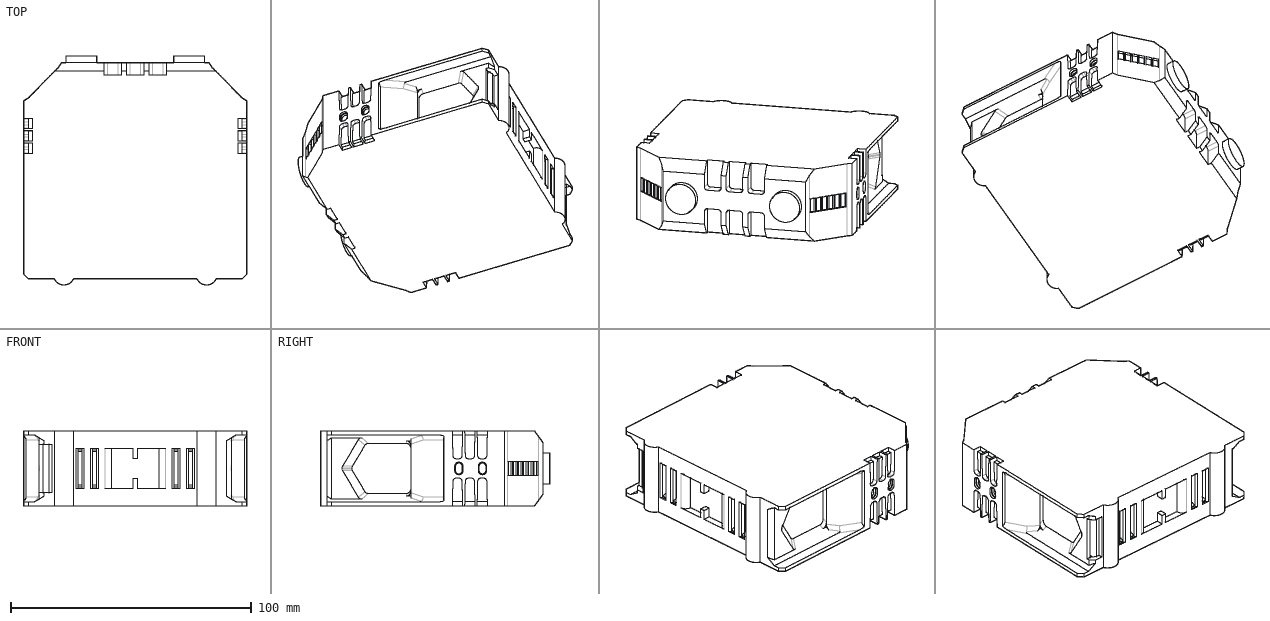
import cadquery as cq
import math

width = 93.0
thickness = 31.3
half_width = width / 2
half_thickness = thickness / 2
overall_back_y = 47.75
overall_front_y = -overall_back_y
back_y = 44.9
front_y = -45.2
front_corner = 2.0
back_half_width = 30.75
back_shoulder = (31.9, 43.1)
slant_end = (44.6, 30.2)
side_top_y = 28.9
back_bevel_y = 3.5
back_bevel_z = 4.9

foot_x = 29.7
foot_half_chord = 4.0
foot_height = front_y - overall_front_y
foot_radius = (foot_half_chord**2 + foot_height**2) / (2 * foot_height)
knob_diameter = 13.0
knob_x = 22.4

groove_end_z = 4.0
groove_corner = 1.3
side_groove_y = 14.4
side_groove_pitch = 5.2
side_groove_mouth = 4.3
side_groove_end = 3.7
side_groove_depth = 2.1
side_notch_depth = 3.6
side_notch_z = 13.8
back_groove_pitch = 9.4
back_groove_width = 7.2
back_groove_depth = 5.1

oval_y = (9.8, 19.7)
oval_straight = 1.8
oval_widths = (3.4, 2.8)
oval_depths = (1.0, 1.9)

slant_slot_count = 6
slant_slot_pitch = 3.0
slant_slot_width = 2.4
slant_slot_length = 5.9
slant_slot_depth = 1.0

pocket_back_y = 3.7
pocket_lip_y = 3.4
pocket_lip_depth = 1.05
pocket_corner = 1.1
pocket_half_z = 13.9
pocket_wall_depth = 4.5
ramp_end_y = -10.1
ramp_end_depth = 8.6
ramp_fillet = 2.1
shelf_depth = 6.5
well_depth = 10.4
well_half_z = 10.4
pocket_wall_slope = (pocket_half_z - well_half_z) / (well_depth - pocket_wall_depth)
shelf_half_z = pocket_half_z - pocket_wall_slope * (shelf_depth - pocket_wall_depth)
well_corner_y = -28.8
well_tip_y = -34.7
well_tip_half_z = 0.6
well_front_slope = 4.1
well_corner = 1.9

latch_half_z = 10.0
latch_slot_half_z = 11.5
latch_slot_x = (-38.4, -35.9)
latch_slot_depth = 3.8
latch_step_y = -42.1
latch_lip_x = -34.6
latch_lip_y = -43.4

recess_half_z = 8.3
recess_half_x = 9.8
recess_lip_radius = 2.8
recess_depth = 3.0
tab_width = 2.0
tab_length = 4.2

vent_x = (17.0, 23.0)
vent_mouth = 3.3
vent_throat = 1.8
vent_bevel_depth = 0.8
vent_depth = 2.9
vent_end_margin = 0.7


def both_sides(shape):
    return shape.union(shape.mirror("YZ"))


def both_faces(shape):
    return shape.union(shape.mirror("XY"))


def prism_z(points, half_height):
    return cq.Workplane("XY").polyline(points).close().extrude(half_height, both=True)


def box_between(x, y, z):
    size = [abs(b - a) for a, b in (x, y, z)]
    center = [(a + b) / 2 for a, b in (x, y, z)]
    return cq.Workplane("XY").box(*size).translate(tuple(center))


def make_housing():
    right_side = [
        (half_width - front_corner, front_y),
        (half_width, front_y + front_corner),
        (half_width, side_top_y),
        slant_end,
        back_shoulder,
        (back_half_width, back_y),
    ]
    left_side = [(-x, y) for x, y in reversed(right_side)]
    housing = prism_z(right_side + left_side, half_thickness)
    bevel = (
        cq.Workplane("YZ")
        .polyline([
            (back_y, half_thickness - back_bevel_z),
            (back_y, half_thickness),
            (back_y - back_bevel_y, half_thickness),
        ])
        .close()
        .extrude(half_width, both=True)
    )
    return housing.cut(both_faces(bevel))


def make_foot():
    center_y = overall_front_y + foot_radius
    return cq.Workplane("XY").center(foot_x, center_y).circle(foot_radius).extrude(half_thickness, both=True)


def make_knob():
    return (
        cq.Workplane("XZ", origin=(knob_x, back_y, 0))
        .circle(knob_diameter / 2)
        .extrude(-(overall_back_y - back_y))
    )


def make_side_grooves():
    grooves = cq.Workplane("XY")
    for index in (-1, 0, 1):
        center_y = side_groove_y + index * side_groove_pitch
        groove = (
            cq.Workplane("YZ", origin=(half_width - side_notch_depth, center_y, 0))
            .polyline([
                (-side_groove_end / 2, groove_end_z),
                (side_groove_end / 2, groove_end_z),
                (side_groove_mouth / 2, half_thickness),
                (-side_groove_mouth / 2, half_thickness),
            ])
            .close()
            .extrude(side_notch_depth)
            .edges("|X and <Z")
            .fillet(groove_corner)
        )
        floor = box_between(
            (half_width - side_notch_depth, half_width - side_groove_depth),
            (center_y - side_groove_mouth / 2, center_y + side_groove_mouth / 2),
            (groove_end_z, side_notch_z),
        )
        grooves = grooves.union(groove.cut(floor))
    return both_faces(grooves)


def make_back_grooves():
    grooves = cq.Workplane("XY")
    for index in (-1, 0, 1):
        center_x = index * back_groove_pitch
        groove = box_between(
            (center_x - back_groove_width / 2, center_x + back_groove_width / 2),
            (back_y - back_groove_depth, back_y),
            (groove_end_z, half_thickness),
        )
        grooves = grooves.union(groove.edges("|Y and <Z").fillet(groove_corner))
    return both_faces(grooves)


def make_ovals():
    ovals = cq.Workplane("XY")
    for oval_width, oval_depth in zip(oval_widths, oval_depths):
        step = (
            cq.Workplane("YZ", origin=(half_width, 0, 0))
            .pushPoints([(y, 0) for y in oval_y])
            .slot2D(oval_straight + oval_width, oval_width, 90)
            .extrude(-oval_depth)
        )
        ovals = ovals.union(step)
    return ovals


def make_slant_slots():
    dx = slant_end[0] - back_shoulder[0]
    dy = slant_end[1] - back_shoulder[1]
    middle = ((slant_end[0] + back_shoulder[0]) / 2, (slant_end[1] + back_shoulder[1]) / 2, 0)
    face = cq.Plane(origin=middle, xDir=(dx, dy, 0), normal=(-dy, dx, 0))
    return (
        cq.Workplane(face)
        .rarray(slant_slot_pitch, 1, slant_slot_count, 1)
        .rect(slant_slot_width, slant_slot_length)
        .extrude(-slant_slot_depth)
    )


def make_well():
    """Five-sided well below the shelf, pointed toward the front, with sloping walls."""
    slope_z = shelf_half_z - well_half_z
    run = (well_corner_y - well_tip_y) / (well_half_z - well_tip_half_z)
    shelf_corner_y = well_corner_y - well_front_slope + slope_z * run

    def outline(corner_y, tip_y, half_z):
        return [
            (ramp_end_y, -half_z),
            (corner_y, -half_z),
            (tip_y, -well_tip_half_z),
            (tip_y, well_tip_half_z),
            (corner_y, half_z),
            (ramp_end_y, half_z),
        ]

    middle_x = half_width - (shelf_depth + well_depth) / 2
    quarter = (well_depth - shelf_depth) / 4
    wall_edges = cq.selectors.BoxSelector(
        (middle_x - quarter, front_y, -half_thickness),
        (middle_x + quarter, back_y, half_thickness),
    )
    return (
        cq.Workplane("YZ", origin=(half_width - well_depth, 0, 0))
        .polyline(outline(well_corner_y, well_tip_y, well_half_z))
        .close()
        .workplane(offset=well_depth - shelf_depth)
        .polyline(outline(shelf_corner_y, well_tip_y - well_front_slope, shelf_half_z))
        .close()
        .loft(ruled=True)
        .edges(wall_edges)
        .fillet(well_corner)
    )


def make_pocket():
    channel_half = [
        (half_width, pocket_half_z),
        (half_width - pocket_wall_depth, pocket_half_z),
        (half_width - well_depth, well_half_z),
    ]
    channel = (
        cq.Workplane("XZ")
        .polyline(channel_half + [(x, -z) for x, z in reversed(channel_half)])
        .close()
        .extrude(overall_back_y, both=True)
    )
    ramp_profile = [
        (half_width, pocket_back_y),
        (half_width - pocket_lip_depth, pocket_lip_y),
        (half_width - ramp_end_depth, ramp_end_y),
        (half_width, ramp_end_y),
    ]
    ramp = prism_z(ramp_profile, half_thickness).intersect(channel)
    ramp_face = ramp.faces(cq.selectors.NearestToPointSelector(
        (half_width - (pocket_lip_depth + ramp_end_depth) / 2, (pocket_lip_y + ramp_end_y) / 2, 0)
    ))
    ramp = ramp.newObject(ramp_face.edges("not |Z").vals()).fillet(ramp_fillet)
    rounded_opening = box_between(
        (0, half_width),
        (ramp_end_y, pocket_back_y),
        (-pocket_half_z, pocket_half_z),
    ).edges("|X and >Y").fillet(pocket_corner)
    ramp = ramp.intersect(rounded_opening)
    shelf_profile = [
        (half_width, ramp_end_y),
        (half_width - ramp_end_depth, ramp_end_y),
        (half_width - ramp_end_depth, ramp_end_y - well_corner),
        (half_width - shelf_depth, ramp_end_y - well_corner),
        (half_width - shelf_depth, front_y + front_corner),
        (half_width - shelf_depth - front_corner, front_y),
        (half_width, front_y),
    ]
    shelf = prism_z(shelf_profile, half_thickness).intersect(channel)
    return ramp.union(shelf).union(make_well())


def make_latch_slot():
    slot_left, slot_right = latch_slot_x
    mouth = prism_z([
        (-half_width, latch_step_y),
        (slot_left, latch_step_y),
        (slot_right, latch_lip_y),
        (latch_lip_x, latch_lip_y),
        (latch_lip_x, front_y),
        (-half_width, front_y),
    ], latch_half_z)
    slot = prism_z([
        (slot_left, latch_step_y),
        (slot_left, latch_step_y + latch_slot_depth),
        (slot_right, latch_step_y + latch_slot_depth),
        (slot_right, latch_lip_y),
    ], latch_slot_half_z)
    return mouth.union(slot)


def make_front_recess():
    mouth_half_x = recess_half_x + recess_lip_radius
    lip_y = front_y + recess_lip_radius
    floor_y = front_y + recess_depth
    arc_inset = recess_lip_radius * math.sqrt(0.5)
    recess = (
        cq.Workplane("XY")
        .moveTo(-mouth_half_x, front_y)
        .threePointArc((-mouth_half_x + arc_inset, lip_y - arc_inset), (-recess_half_x, lip_y))
        .lineTo(-recess_half_x, floor_y)
        .lineTo(recess_half_x, floor_y)
        .lineTo(recess_half_x, lip_y)
        .threePointArc((mouth_half_x - arc_inset, lip_y - arc_inset), (mouth_half_x, front_y))
        .close()
        .extrude(recess_half_z, both=True)
    )
    tab = box_between(
        (-tab_width / 2, tab_width / 2),
        (front_y, floor_y),
        (recess_half_z - tab_length, recess_half_z),
    )
    return recess.cut(both_faces(tab))


def make_vent(center_x):
    bevel_y = front_y + vent_bevel_depth
    bevel = prism_z([
        (center_x - vent_mouth / 2, front_y),
        (center_x + vent_mouth / 2, front_y),
        (center_x + vent_throat / 2, bevel_y),
        (center_x - vent_throat / 2, bevel_y),
    ], recess_half_z)
    throat_half_z = recess_half_z - vent_end_margin
    floor_half_z = throat_half_z - vent_end_margin
    floor_y = front_y + vent_depth
    throat = (
        cq.Workplane("YZ", origin=(center_x, 0, 0))
        .polyline([
            (bevel_y, -throat_half_z),
            (floor_y, -floor_half_z),
            (floor_y, floor_half_z),
            (bevel_y, throat_half_z),
        ])
        .close()
        .extrude(vent_throat / 2, both=True)
    )
    return bevel.union(throat)


body = make_housing().union(both_sides(make_foot())).union(both_sides(make_knob()))
for side_cut in (make_side_grooves(), make_ovals(), make_slant_slots(), make_pocket()):
    body = body.cut(both_sides(side_cut))
for vent_center in vent_x:
    body = body.cut(both_sides(make_vent(vent_center)))
result = body.cut(make_back_grooves()).cut(make_latch_slot()).cut(make_front_recess())